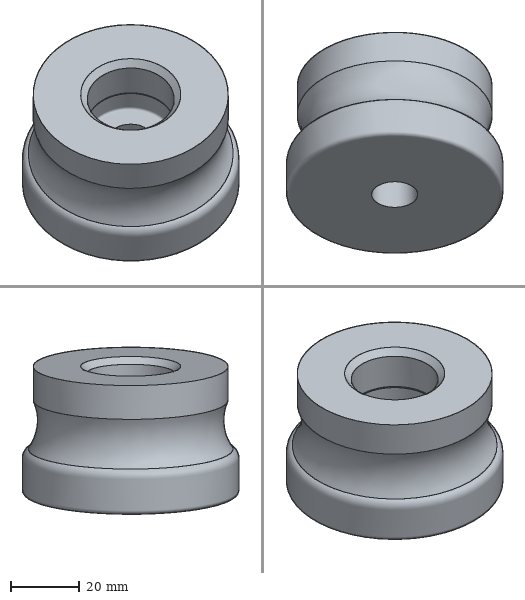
import cadquery as cq
import math

total_height = 38.07
base_diameter = 63.5
head_diameter = 57.15

base_bottom_diameter = 61.0
base_bottom_fillet = (base_diameter - base_bottom_diameter) / 2
base_shoulder_radius = 3.0
seam_height = 13.4
seam_radius = 30.0

head_height = 10.1
neck_arc_radius = 15.0
neck_top = total_height - head_height

land_diameter = 25.41
land_chamfer = 1.95
land_end_depth = 12.35
relief_diameter = 25.9
relief_taper_length = 0.55
floor_depth = 19.4
floor_fillet = 0.8
screw_hole_diameter = 13.5


def make_base():
    """Disc with a rounded bottom edge and a rounded shoulder that stops at the seam."""
    outer_radius = base_diameter / 2
    diagonal = math.sqrt(0.5)
    shoulder_center_radius = outer_radius - base_shoulder_radius
    seam_angle = math.acos((seam_radius - shoulder_center_radius) / base_shoulder_radius)
    shoulder_start = seam_height - base_shoulder_radius * math.sin(seam_angle)
    shoulder_middle = (
        shoulder_center_radius + base_shoulder_radius * math.cos(seam_angle / 2),
        shoulder_start + base_shoulder_radius * math.sin(seam_angle / 2),
    )
    bottom_middle = (
        base_bottom_diameter / 2 + base_bottom_fillet * diagonal,
        base_bottom_fillet * (1 - diagonal),
    )
    hole_radius = screw_hole_diameter / 2
    return (
        cq.Workplane("XZ")
        .moveTo(hole_radius, 0)
        .lineTo(base_bottom_diameter / 2, 0)
        .threePointArc(bottom_middle, (outer_radius, base_bottom_fillet))
        .lineTo(outer_radius, shoulder_start)
        .threePointArc(shoulder_middle, (seam_radius, seam_height))
        .lineTo(hole_radius, seam_height)
        .close()
        .revolve(360, (0, 0, 0), (0, 1, 0))
    )


def neck_middle():
    """Point halfway along the concave neck arc, found from its chord and radius."""
    radial_run = seam_radius - head_diameter / 2
    axial_run = neck_top - seam_height
    chord = math.hypot(radial_run, axial_run)
    sagitta = neck_arc_radius - math.sqrt(neck_arc_radius**2 - (chord / 2) ** 2)
    return (
        (seam_radius + head_diameter / 2) / 2 - sagitta * axial_run / chord,
        (seam_height + neck_top) / 2 - sagitta * radial_run / chord,
    )


def make_receiver():
    """Necked cylinder with a chamfered bore, a wider relief under it and a screw hole."""
    head_radius = head_diameter / 2
    land_radius = land_diameter / 2
    relief_radius = relief_diameter / 2
    hole_radius = screw_hole_diameter / 2
    floor_height = total_height - floor_depth
    land_end = total_height - land_end_depth
    diagonal = math.sqrt(0.5)
    fillet_middle = (
        relief_radius - floor_fillet * (1 - diagonal),
        floor_height + floor_fillet * (1 - diagonal),
    )
    return (
        cq.Workplane("XZ")
        .moveTo(hole_radius, seam_height)
        .lineTo(seam_radius, seam_height)
        .threePointArc(neck_middle(), (head_radius, neck_top))
        .lineTo(head_radius, total_height)
        .lineTo(land_radius + land_chamfer, total_height)
        .lineTo(land_radius, total_height - land_chamfer)
        .lineTo(land_radius, land_end)
        .lineTo(relief_radius, land_end - relief_taper_length)
        .lineTo(relief_radius, floor_height + floor_fillet)
        .threePointArc(fillet_middle, (relief_radius - floor_fillet, floor_height))
        .lineTo(hole_radius, floor_height)
        .close()
        .revolve(360, (0, 0, 0), (0, 1, 0))
    )


base = make_base()
receiver = make_receiver()
result = cq.Compound.makeCompound([base.val(), receiver.val()])